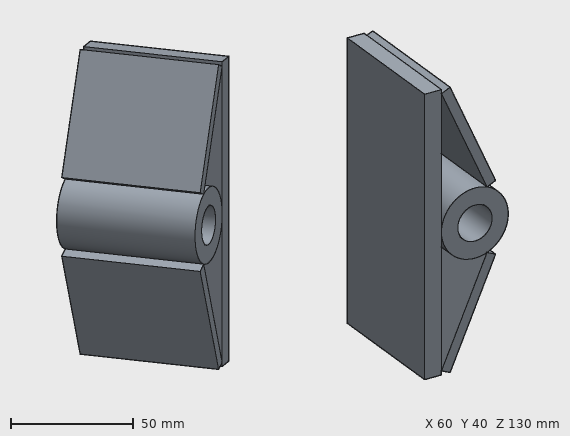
import cadquery as cq
import math

width = 60.0
plate_height = 130.0
plate_thickness = 8.0
tube_radius = 16.0
bore_radius = 8.2
web_thickness = 4.5
web_angle = 24.3

tube_center_y = -tube_radius


def make_plate():
    """Upright back plate with its front face at Y = 0."""
    return cq.Workplane("XY").box(width, plate_thickness, plate_height).translate((0, plate_thickness / 2, 0))


def make_tube():
    """Hollow cylinder along X, touching the plate."""
    return (
        cq.Workplane("YZ", origin=(-width / 2, 0, 0))
        .center(tube_center_y, 0)
        .circle(tube_radius)
        .circle(bore_radius)
        .extrude(width)
    )


def make_web(side):
    """Sloping web from the plate end to the tube; side is +1 above and -1 below."""
    angle = math.radians(web_angle)
    along_y, along_z = -math.sin(angle), -math.cos(angle)
    across_y, across_z = -math.cos(angle) * web_thickness, math.sin(angle) * web_thickness

    start_z = plate_height / 2 - across_z

    offset_y, offset_z = -tube_center_y, start_z
    midpoint = -(offset_y * along_y + offset_z * along_z)
    line_distance = abs(offset_y * along_z - offset_z * along_y)
    length = midpoint - math.sqrt(tube_radius**2 - line_distance**2)

    end_y, end_z = length * along_y, start_z + length * along_z
    corners = [
        (0, start_z),
        (across_y, start_z + across_z),
        (end_y + across_y, end_z + across_z),
        (end_y, end_z),
    ]
    return (
        cq.Workplane("YZ", origin=(-width / 2, 0, 0))
        .polyline([(y, side * z) for y, z in corners])
        .close()
        .extrude(width)
    )


plate = make_plate()
tube = make_tube()
webs = [make_web(side) for side in (1, -1)]

result = cq.Compound.makeCompound([plate.val(), tube.val(), *[web.val() for web in webs]])